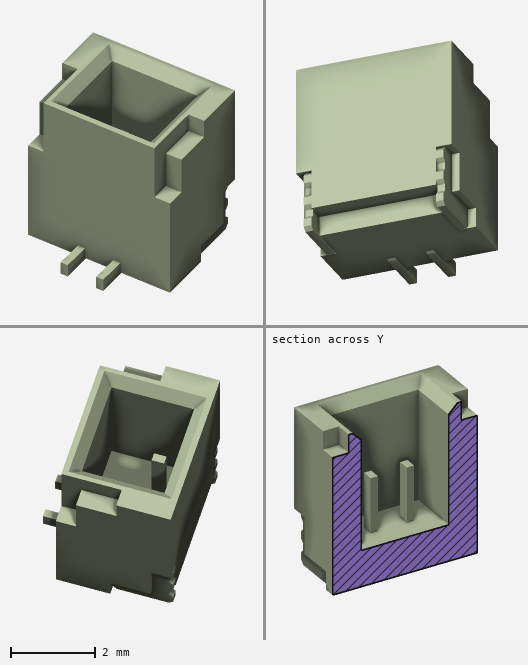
import cadquery as cq

BODY_WIDTH = 4.0
BODY_DEPTH = 2.85
BODY_HEIGHT = 4.25
STANDOFF = 0.05

MOUTH_WIDTH = 2.9
RIM_THICKNESS = 0.15
MOUTH_DEPTH = BODY_DEPTH - 2 * RIM_THICKNESS
LEAD_IN = 0.25
FLOOR_HEIGHT = 1.0

CUT_SHORT = 0.5
CUT_LONG = 1.5
TOP_CUT_WIDTH = 0.44
TAB_CUT_WIDTH = 0.4

TAB_THICKNESS = 0.2
TAB_BEVEL = 0.1
TOOTH_FLAT = 0.2
GROOVE_FLAT = 0.175
TOOTH_PITCH = TOOTH_FLAT + GROOVE_FLAT + 2 * TAB_BEVEL
TOOTH_COUNT = 3

PIN_PITCH = 1.0
PIN_WIDTH = 0.2
LEAD_LENGTH = 0.75
LEAD_HEIGHT = 0.35
LEAD_END = 0.7
LEAD_BEND_RADIUS = 0.25
POST_DEPTH = 0.31
POST_FRONT = 1.64
POST_TOP = 2.5


def box(x_min, x_max, y_min, y_max, z_min, z_max):
    """Box between the given limits."""
    size = (x_max - x_min, y_max - y_min, z_max - z_min)
    return cq.Workplane("XY").box(*size, centered=False).translate((x_min, y_min, z_min))


def side_profile(points, x_start, thickness):
    """Closed (Y, Z) outline extruded along +X from x_start."""
    return cq.Workplane("YZ").workplane(offset=x_start).polyline(points).close().extrude(thickness)


def both_sides(shape):
    """The shape and its mirror image in the YZ plane."""
    return shape.union(shape.mirror("YZ"))


def make_cavity():
    """Straight well with four flared faces at the mouth."""
    inner_width = MOUTH_WIDTH - 2 * LEAD_IN
    inner_depth = MOUTH_DEPTH - 2 * LEAD_IN
    middle = BODY_DEPTH / 2
    flare_base = BODY_HEIGHT - LEAD_IN
    well = box(
        -inner_width / 2, inner_width / 2,
        middle - inner_depth / 2, middle + inner_depth / 2,
        FLOOR_HEIGHT, BODY_HEIGHT,
    )
    flare = (
        cq.Workplane("XY", origin=(0, middle, flare_base))
        .rect(inner_width, inner_depth)
        .workplane(offset=LEAD_IN)
        .rect(MOUTH_WIDTH, MOUTH_DEPTH)
        .loft(ruled=True)
    )
    return well.union(flare)


def make_top_cuts():
    """L-shaped steps on both sides of the top front edge."""
    outline = [
        (0, BODY_HEIGHT),
        (CUT_LONG, BODY_HEIGHT),
        (CUT_LONG, BODY_HEIGHT - CUT_SHORT),
        (CUT_SHORT, BODY_HEIGHT - CUT_SHORT),
        (CUT_SHORT, BODY_HEIGHT - CUT_LONG),
        (0, BODY_HEIGHT - CUT_LONG),
    ]
    return both_sides(side_profile(outline, -BODY_WIDTH / 2, TOP_CUT_WIDTH))


def make_tab_cuts():
    """L-shaped recesses for the tabs, joined by a step along the bottom rear edge."""
    outline = [
        (BODY_DEPTH, 0),
        (BODY_DEPTH - CUT_LONG, 0),
        (BODY_DEPTH - CUT_LONG, CUT_SHORT),
        (BODY_DEPTH - CUT_SHORT, CUT_SHORT),
        (BODY_DEPTH - CUT_SHORT, CUT_LONG),
        (BODY_DEPTH, CUT_LONG),
    ]
    recesses = both_sides(side_profile(outline, -BODY_WIDTH / 2, TAB_CUT_WIDTH))
    rear_step = box(
        -BODY_WIDTH / 2, BODY_WIDTH / 2,
        BODY_DEPTH - CUT_SHORT, BODY_DEPTH,
        0, CUT_SHORT,
    )
    return recesses.union(rear_step)


def make_tabs():
    """L-shaped plates with bevelled teeth along the rear edge."""
    tooth_root = BODY_DEPTH - TAB_BEVEL
    heel = BODY_DEPTH - CUT_LONG
    outline = [
        (BODY_DEPTH - CUT_SHORT, CUT_LONG),
        (BODY_DEPTH - CUT_SHORT, CUT_SHORT),
        (heel, CUT_SHORT),
        (heel, TAB_BEVEL - STANDOFF),
        (heel + TAB_BEVEL, -STANDOFF),
    ]
    for index in range(TOOTH_COUNT):
        root_start = index * TOOTH_PITCH - STANDOFF
        flat_start = root_start + TAB_BEVEL
        flat_end = flat_start + TOOTH_FLAT
        outline += [
            (tooth_root, root_start),
            (BODY_DEPTH, flat_start),
            (BODY_DEPTH, flat_end),
            (tooth_root, flat_end + TAB_BEVEL),
        ]
    inner_face = -BODY_WIDTH / 2 + TAB_CUT_WIDTH
    return both_sides(side_profile(outline, inner_face - TAB_THICKNESS, TAB_THICKNESS))


def make_contact(x_center):
    """Solder lead at the front and contact post in the cavity."""
    x_min = x_center - PIN_WIDTH / 2
    x_max = x_center + PIN_WIDTH / 2
    lead = box(x_min, x_max, -LEAD_LENGTH, LEAD_END, -STANDOFF, LEAD_HEIGHT - STANDOFF)
    lead = lead.edges(">Y and <Z").fillet(LEAD_BEND_RADIUS)
    post = box(x_min, x_max, POST_FRONT, POST_FRONT + POST_DEPTH, FLOOR_HEIGHT, POST_TOP)
    return lead, post


result = box(-BODY_WIDTH / 2, BODY_WIDTH / 2, 0, BODY_DEPTH, 0, BODY_HEIGHT)
result = result.cut(make_cavity()).cut(make_top_cuts()).cut(make_tab_cuts())
result = result.union(make_tabs())
for x_center in (-PIN_PITCH / 2, PIN_PITCH / 2):
    for piece in make_contact(x_center):
        result = result.union(piece)